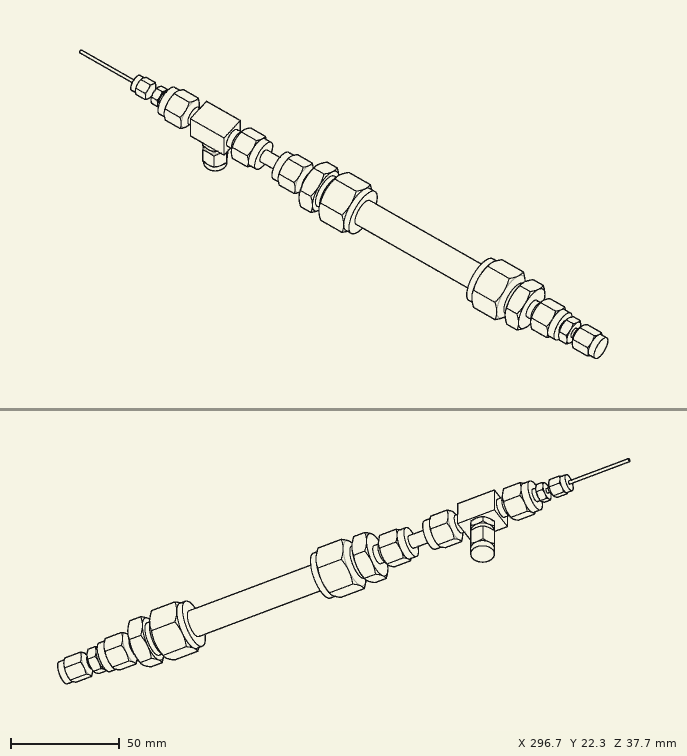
import cadquery as cq
import math


def corner_diameter(flats):
    return flats / math.cos(math.pi / 6)



needle_dia = 1.6
small_tube_dia = 6.2
large_tube_dia = 12.8

needle_hex = 8.0
end_hex = 11.0
small_hex = 14.2
union_hex = 20.8
large_hex = 22.3

overall_length = 296.7
overall_height = 37.7
needle_length = 31.5
tee_start = 49.3
tee_length = 55.2
left_union_start = 114.2
union_length = 47.0
right_union_end = 275.0

needle_neck_dia = 2.28
small_neck_dia = 9.0
large_neck_dia = 16.0

needle_nut = dict(flats=needle_hex, collar=2.7, hexagon=6.0, taper=1.8, taper_dia=needle_neck_dia)
end_nut = dict(flats=end_hex, collar=3.3, hexagon=9.2, taper=1.5, taper_dia=6.2)
small_nut = dict(flats=small_hex, collar=3.5, hexagon=9.8, taper=1.8, taper_dia=small_neck_dia)
large_nut = dict(flats=large_hex, collar=3.0, hexagon=14.2, taper=1.8, taper_dia=large_neck_dia)

needle_neck_length = 1.2
needle_reducer_hex_length = 4.0
end_neck_dia = 4.7
end_neck_length = 1.5
end_reducer_hex_length = 4.7

tee_block_length = 19.3
tee_block_width = 12.8
tee_block_height = 12.8
branch_reach = overall_height - corner_diameter(large_hex) / 2
branch_hex_length = 4.0
branch_neck_dia = 4.7

small_neck_length = 2.7
union_hex_length = 7.7


def rod(start, length, diameter):
    return cq.Workplane("XY").workplane(offset=start).circle(diameter / 2).extrude(length)


def cone(start, length, start_dia, end_dia):
    solid = cq.Solid.makeCone(start_dia / 2, end_dia / 2, length, cq.Vector(0, 0, start))
    return cq.Workplane("XY").newObject([solid])


def hex_bar(start, length, flats):
    """Hexagon whose corners are bevelled at both ends down to its flats."""
    corner = corner_diameter(flats)
    bevel = (corner - flats) / 2 * math.tan(math.pi / 6)
    envelope = (
        cone(start, bevel, flats, corner)
        .union(rod(start + bevel, length - 2 * bevel, corner))
        .union(cone(start + length - bevel, bevel, corner, flats))
    )
    prism = cq.Workplane("XY").workplane(offset=start).polygon(6, corner).extrude(length)
    return prism.intersect(envelope)


def nut_length(size):
    return size["collar"] + size["hexagon"] + size["taper"]


def nut(size):
    """Tube nut from its plain collar at local zero to the small end of its taper."""
    flats = size["flats"]
    hexagon_end = size["collar"] + size["hexagon"]
    return (
        rod(0, size["collar"], flats)
        .union(hex_bar(size["collar"], size["hexagon"], flats))
        .union(cone(hexagon_end, size["taper"], flats, size["taper_dia"]))
    )


def facing_left(shape, x):
    """Lay a fitting along +X, its first collar facing -X at x."""
    return shape.rotate((0, 0, 0), (0, 1, 0), 90).translate((x, 0, 0))


def facing_right(shape, x):
    """Lay a fitting along -X, its first collar facing +X at x."""
    return shape.rotate((0, 0, 0), (0, 1, 0), -90).translate((x, 0, 0))


def reducer(size, neck_dia, neck_length, hex_length, total_length):
    neck_start = nut_length(size)
    hex_start = neck_start + neck_length
    stub_start = hex_start + hex_length
    return (
        nut(size)
        .union(rod(neck_start, neck_length, neck_dia))
        .union(hex_bar(hex_start, hex_length, size["flats"]))
        .union(rod(stub_start, total_length - stub_start, small_tube_dia))
    )


def union_fitting():
    """Straight union from the small tube nut to the large tube nut."""
    small_neck_start = nut_length(small_nut)
    hex_start = small_neck_start + small_neck_length
    large_neck_start = hex_start + union_hex_length
    large_end = nut(large_nut).rotate((0, 0, 0), (1, 0, 0), 180).translate((0, 0, union_length))
    large_neck_length = union_length - nut_length(large_nut) - large_neck_start
    return (
        nut(small_nut)
        .union(rod(small_neck_start, small_neck_length, small_neck_dia))
        .union(hex_bar(hex_start, union_hex_length, union_hex))
        .union(rod(large_neck_start, large_neck_length, large_neck_dia))
        .union(large_end)
    )


def tee_fitting():
    """Tee with a block in the middle, a nut at each end and a branch nut below."""
    middle = tee_start + tee_length / 2
    block = cq.Workplane("XY").box(tee_block_length, tee_block_width, tee_block_height)
    neck_length = (tee_length - tee_block_length) / 2 - nut_length(small_nut)
    run_end = nut(small_nut).union(rod(nut_length(small_nut), neck_length, small_neck_dia))

    branch_hex_start = branch_reach - tee_block_height / 2 - branch_hex_length
    branch_neck_start = nut_length(end_nut)
    branch = (
        nut(end_nut)
        .union(rod(branch_neck_start, branch_hex_start - branch_neck_start, branch_neck_dia))
        .union(hex_bar(branch_hex_start, branch_hex_length, end_hex))
        .translate((middle, 0, -branch_reach))
    )
    return (
        block.translate((middle, 0, 0))
        .union(facing_left(run_end, tee_start))
        .union(facing_right(run_end, tee_start + tee_length))
        .union(branch)
    )


def tube(start, end, diameter):
    return facing_left(rod(0, end - start, diameter), start)


tee_end = tee_start + tee_length
left_union_end = left_union_start + union_length
right_union_start = right_union_end - union_length

needle = tube(0, needle_length, needle_dia)
needle_reducer = facing_left(
    reducer(
        needle_nut,
        needle_neck_dia,
        needle_neck_length,
        needle_reducer_hex_length,
        tee_start - needle_length,
    ),
    needle_length,
)
tee = tee_fitting()
small_tube = tube(tee_end, left_union_start, small_tube_dia)
unions = [
    facing_left(union_fitting(), left_union_start),
    facing_right(union_fitting(), right_union_end),
]
large_tube = tube(left_union_end, right_union_start, large_tube_dia)
end_reducer = facing_right(
    reducer(
        end_nut,
        end_neck_dia,
        end_neck_length,
        end_reducer_hex_length,
        overall_length - right_union_end,
    ),
    overall_length,
)

result = cq.Compound.makeCompound(
    [
        needle.val(),
        needle_reducer.val(),
        tee.val(),
        small_tube.val(),
        *[fitting.val() for fitting in unions],
        large_tube.val(),
        end_reducer.val(),
    ]
)